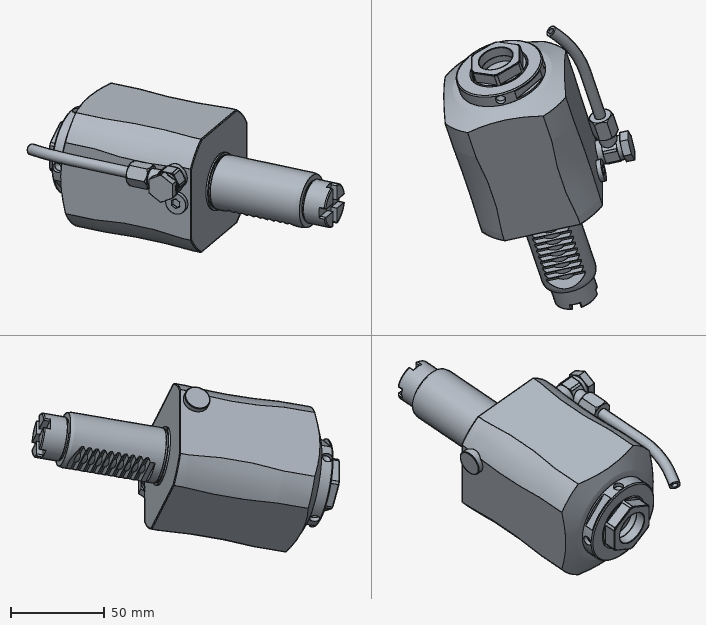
import cadquery as cq
import math


block_half_width = 33.5
corner_radius = 39.5
waist_radius = 38.5
waist_start_x = -58.0
waist_end_x = -5.2
cone_base_x = -75.3
nose_rim_x = -81.0
nose_rim_radius = 27.5
nose_face_x = -81.3
nose_face_radius = 25.6
rear_edge_chamfer = 0.5

ring_front_x = -88.5
ring_radius = 24.0
ring_chamfer = 0.7
ring_bore_radius = 16.0
ring_hole_radius = 2.7
ring_hole_depth = 2.5
ring_hole_point_depth = 1.7
ring_hole_x = -85.0
ring_flat_front_x = -87.3
ring_flat_back_x = -82.3
ring_flat_distance = 21.8
ring_flat_angles = (45, 225)

collar_radius = 15.9
collar_length = 1.0
undercut_radius = 14.7
undercut_end_x = 2.0
shank_radius = 15.0
shank_end_x = 55.2
shank_taper_length = 2.2
shank_taper_depth = 0.5
tooth_pitch = 4.0
tooth_root_width = 1.0
tooth_root_z = -10.5
tooth_tip_z = -12.0
first_root_x = 11.2
root_count = 10
rack_start_x = 6.5

fitting_x = -9.0
fitting_z = 15.2
collars_radius = 6.7
body_top_y = -36.8
body_bottom_y = -44.8
body_hex_width = 13.7
body_corner_radius = 7.5
body_edge_chamfer = 0.3
bolt_head_y = -47.2
bolt_end_y = -51.7
bolt_hex_width = 14.0
tube_y = (body_top_y + body_bottom_y) / 2
stub_radius = 4.9
nut_front_x = -32.3
nut_rear_x = -20.0
nut_hex_width = 12.0
nut_edge_chamfer = 1.0

tube_radius = 3.0
tube_bore_radius = 1.7
tube_bore_depth = 5.0
bend_start_x = -62.4
bend_radius = 60.2
bend_angle = 30.0
bend_tilt = 21.0
tube_tip_length = 4.7

screw_x = -8.0
screw_radius = 6.0
screw_height = 2.5
socket_width = 4.9
socket_depth = 1.7
plug_radius = 7.0
plug_end_y = 36.6
plug_chamfer = 0.3
embed_depth = 6.7

hex_front_x = -95.0
hex_rear_x = ring_front_x
hex_width = 27.0
neck_radius = 15.0
hex_edge_chamfer = 0.42
nose_bore_radius = 9.4
nose_bore_chamfer = 0.25
nose_bore_depth = 5.7
inner_bore_radius = 9.2
inner_bore_depth = 9.4
shaft_radius = 11.4
drive_radius = 12.0
drive_start_x = 56.2
drive_end_chamfer = 0.7
drive_end_x = 69.3
drive_slot_width = 4.9
drive_slot_mouth_width = 7.0
drive_slot_flare_radius = 10.7
drive_slot_depth = 3.5


def rod(start_x, end_x, radius):
    """Cylinder on the tool axis."""
    return cq.Workplane("YZ").workplane(offset=start_x).circle(radius).extrude(end_x - start_x)


def cross_rod(start_y, end_y, radius, x, z):
    """Cylinder parallel to Y."""
    return cq.Workplane("XZ", origin=(x, start_y, z)).circle(radius).extrude(start_y - end_y)


def hex_bar(plane, width, length, corner_radius, end_chamfer=0):
    """Hexagon bar with its corners turned down to a radius, and its ends turned to a bevel if asked."""
    hexagon = cq.Workplane(plane).polygon(6, width / math.cos(math.radians(30))).extrude(length)
    envelope = cq.Workplane(plane).circle(corner_radius).extrude(length)
    if end_chamfer:
        envelope = envelope.edges().chamfer(end_chamfer)
    return hexagon.intersect(envelope)


def make_block():
    revolved = (
        cq.Workplane("XY")
        .moveTo(nose_face_x, 0)
        .lineTo(nose_face_x, nose_face_radius)
        .lineTo(nose_rim_x, nose_rim_radius)
        .lineTo(cone_base_x, corner_radius)
        .lineTo(waist_start_x, corner_radius)
        .threePointArc(((waist_start_x + waist_end_x) / 2, waist_radius), (waist_end_x, corner_radius))
        .lineTo(0, corner_radius)
        .lineTo(0, 0)
        .close()
        .revolve(360, (0, 0, 0), (1, 0, 0))
    )
    square = (
        cq.Workplane("YZ")
        .workplane(offset=nose_face_x)
        .rect(2 * block_half_width, 2 * block_half_width)
        .extrude(-nose_face_x)
    )
    return revolved.intersect(square).faces(">X").edges().chamfer(rear_edge_chamfer)


def make_ring():
    ring = rod(ring_front_x, nose_face_x, ring_radius).faces("<X").edges().chamfer(ring_chamfer)
    hole_floor = ring_radius - ring_hole_depth
    hole = (
        cq.Workplane("XZ", origin=(ring_hole_x, 0, 0))
        .moveTo(0, hole_floor - ring_hole_point_depth)
        .lineTo(ring_hole_radius, hole_floor)
        .lineTo(ring_hole_radius, ring_radius)
        .lineTo(0, ring_radius)
        .close()
        .revolve(360, (0, 0, 0), (0, 1, 0))
    )
    for angle in (0, 90, 180, 270):
        ring = ring.cut(hole.rotate((0, 0, 0), (1, 0, 0), angle))
    flat = cq.Workplane("XY").box(
        ring_flat_back_x - ring_flat_front_x, 2 * ring_radius, ring_radius, centered=(False, True, False)
    )
    flat = flat.translate((ring_flat_front_x, 0, ring_flat_distance))
    for angle in ring_flat_angles:
        ring = ring.cut(flat.rotate((0, 0, 0), (1, 0, 0), -angle))
    return ring


def make_shank():
    shank = (
        cq.Workplane("XY")
        .moveTo(0, 0)
        .lineTo(0, collar_radius)
        .lineTo(collar_length, collar_radius)
        .lineTo(collar_length, undercut_radius)
        .lineTo(undercut_end_x, undercut_radius)
        .lineTo(undercut_end_x, shank_radius)
        .lineTo(shank_end_x - shank_taper_length, shank_radius)
        .lineTo(shank_end_x, shank_radius - shank_taper_depth)
        .lineTo(shank_end_x, 0)
        .close()
        .revolve(360, (0, 0, 0), (1, 0, 0))
    )
    tooth_height = tooth_root_z - tooth_tip_z
    half_root = tooth_root_width / 2
    points = [(rack_start_x, -collar_radius), (rack_start_x, tooth_tip_z)]
    points.append((first_root_x - half_root - tooth_height, tooth_tip_z))
    for index in range(root_count):
        root_x = first_root_x + index * tooth_pitch
        points.append((root_x - half_root, tooth_root_z))
        points.append((root_x + half_root, tooth_root_z))
        points.append((root_x + half_root + tooth_height, tooth_tip_z))
    points[-1] = (root_x + half_root + tooth_root_z + collar_radius, -collar_radius)
    rack = cq.Workplane("XZ").polyline(points).close().extrude(collar_radius, both=True)
    return shank.cut(rack)


def make_fitting():
    collars = cross_rod(-block_half_width + embed_depth, bolt_head_y, collars_radius, fitting_x, fitting_z)
    body_plane = cq.Plane((fitting_x, body_top_y, fitting_z), xDir=(1, 0, 0), normal=(0, -1, 0))
    body = hex_bar(
        body_plane, body_hex_width, body_top_y - body_bottom_y, body_corner_radius, body_edge_chamfer
    )
    bolt_head = (
        cq.Workplane("XZ", origin=(fitting_x, bolt_head_y, fitting_z))
        .polygon(6, bolt_hex_width / math.cos(math.radians(30)))
        .extrude(bolt_head_y - bolt_end_y)
        .rotate((fitting_x, 0, fitting_z), (fitting_x, 1, fitting_z), 90)
    )
    stub = rod(nut_rear_x, fitting_x, stub_radius).translate((0, tube_y, fitting_z))
    nut_plane = cq.Plane((nut_front_x, tube_y, fitting_z), xDir=(0, 1, 0), normal=(1, 0, 0))
    nut_corner_radius = nut_hex_width / 2 / math.cos(math.radians(30))
    nut = hex_bar(
        nut_plane, nut_hex_width, nut_rear_x - nut_front_x, nut_corner_radius, nut_edge_chamfer
    )
    return collars.union(body).union(bolt_head).union(stub).union(nut)


def make_tube():
    """Straight tube that bends towards the tool axis, built flat and then tilted about its own line."""
    half_bend = math.radians(bend_angle / 2)
    full_bend = math.radians(bend_angle)
    bend_middle = (
        bend_start_x - bend_radius * math.sin(half_bend),
        bend_radius * (1 - math.cos(half_bend)),
    )
    bend_end = (
        bend_start_x - bend_radius * math.sin(full_bend),
        bend_radius * (1 - math.cos(full_bend)),
    )
    tip = (
        bend_end[0] - tube_tip_length * math.cos(full_bend),
        bend_end[1] + tube_tip_length * math.sin(full_bend),
    )
    path = (
        cq.Workplane("XY")
        .moveTo(nut_front_x, 0)
        .lineTo(bend_start_x, 0)
        .threePointArc(bend_middle, bend_end)
        .lineTo(*tip)
    )
    tube = cq.Workplane("YZ", origin=(nut_front_x, 0, 0)).circle(tube_radius).sweep(path)
    inward = (math.cos(full_bend), -math.sin(full_bend), 0)
    tip_plane = cq.Plane((tip[0], tip[1], 0), xDir=(0, 0, 1), normal=inward)
    tube = tube.cut(cq.Workplane(tip_plane).circle(tube_bore_radius).extrude(tube_bore_depth))
    return tube.rotate((0, 0, 0), (1, 0, 0), -bend_tilt).translate((0, tube_y, fitting_z))


def make_screw():
    head_y = -block_half_width - screw_height
    screw = cross_rod(-block_half_width + embed_depth, head_y, screw_radius, screw_x, 0)
    socket = (
        cq.Workplane("XZ", origin=(screw_x, head_y + socket_depth, 0))
        .polygon(6, socket_width / math.cos(math.radians(30)))
        .extrude(socket_depth)
        .rotate((screw_x, 0, 0), (screw_x, 1, 0), 90)
    )
    return screw.cut(socket)


def make_plug():
    plug = cross_rod(plug_end_y, block_half_width - embed_depth, plug_radius, fitting_x, fitting_z)
    return plug.faces(">Y").edges().chamfer(plug_chamfer)


def make_housing():
    housing = make_block().union(make_ring()).union(make_shank())
    housing = housing.union(make_fitting()).union(make_tube())
    housing = housing.union(make_plug()).union(make_screw())
    housing = housing.cut(rod(ring_front_x, nose_face_x, ring_bore_radius))
    return housing.cut(rod(nose_face_x, shank_end_x, shaft_radius))


def make_spindle():
    hex_plane = cq.Plane((hex_front_x, 0, 0), xDir=(0, 0, 1), normal=(1, 0, 0))
    nose = hex_bar(hex_plane, hex_width, hex_rear_x - hex_front_x, neck_radius)
    nose = nose.faces("<X").edges().chamfer(hex_edge_chamfer)
    neck = rod(hex_rear_x, nose_face_x, neck_radius)
    shaft = rod(nose_face_x, drive_start_x, shaft_radius)
    drive = rod(drive_start_x, drive_end_x, drive_radius).faces(">X").edges().chamfer(drive_end_chamfer)
    half_slot = drive_slot_width / 2
    half_mouth = drive_slot_mouth_width / 2
    slot = (
        cq.Workplane("YZ")
        .workplane(offset=drive_end_x - drive_slot_depth)
        .moveTo(-drive_radius, half_mouth)
        .lineTo(-drive_slot_flare_radius, half_slot)
        .lineTo(drive_slot_flare_radius, half_slot)
        .lineTo(drive_radius, half_mouth)
        .lineTo(drive_radius, -half_mouth)
        .lineTo(drive_slot_flare_radius, -half_slot)
        .lineTo(-drive_slot_flare_radius, -half_slot)
        .lineTo(-drive_radius, -half_mouth)
        .close()
        .extrude(drive_slot_depth)
    )
    drive = drive.cut(slot).cut(slot.rotate((0, 0, 0), (1, 0, 0), 90))
    nose = nose.union(neck).union(shaft)
    nose = nose.cut(rod(hex_front_x, hex_front_x + nose_bore_depth, nose_bore_radius))
    nose = nose.faces("<X").edges("%CIRCLE").chamfer(nose_bore_chamfer)
    nose = nose.cut(rod(hex_front_x, hex_front_x + inner_bore_depth, inner_bore_radius))
    return nose.union(drive)


housing = make_housing()
spindle = make_spindle()
result = cq.Compound.makeCompound([housing.val(), spindle.val()])